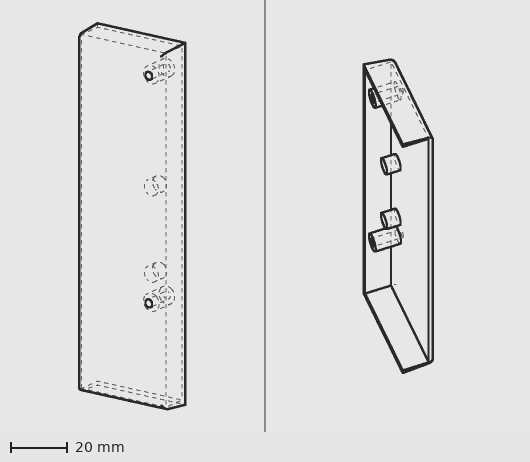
import cadquery as cq
import math

length_x = 37.7
depth = 11.4
height = 134.0

plate_thickness = 1.6
rim_thickness = 1.5
rim_land = 0.3
draft_angle = 5.0
edge_radius = 2.0
draft_start = depth - rim_land
draft_inset = draft_start * math.tan(math.radians(draft_angle))

post_x = 29.9
boss_diameter = 6.7
boss_length = draft_start - plate_thickness
boss_heights = (56.4, -27.9)
screw_hole_diameter = 3.0
pin_diameter = 6.0
pin_length = 5.1
pin_heights = (14.6, -17.4)


def outer_body():
    """Block whose end and +X walls lean inward toward the rounded front face."""
    half_height = height / 2
    end_profile = (
        cq.Workplane("YZ")
        .polyline([
            (0, -half_height + draft_inset),
            (draft_start, -half_height),
            (depth, -half_height),
            (depth, half_height),
            (draft_start, half_height),
            (0, half_height - draft_inset),
        ])
        .close()
        .extrude(length_x)
    )
    side_profile = (
        cq.Workplane("XY")
        .polyline([
            (0, 0),
            (length_x - draft_inset, 0),
            (length_x, draft_start),
            (length_x, depth),
            (0, depth),
        ])
        .close()
        .extrude(half_height, both=True)
    )
    body = end_profile.intersect(side_profile)
    front_edges = body.faces("<Y").edges("not(<X)")
    return front_edges.fillet(edge_radius)


def cavity():
    """Straight-sided space behind the front plate, open at -X and +Y."""
    return cq.Workplane("XY").box(
        length_x - rim_thickness,
        depth - plate_thickness,
        height - 2 * rim_thickness,
        centered=(False, False, True),
    ).translate((0, plate_thickness, 0))


def rod(z, diameter, start_y, end_y):
    """Cylinder along +Y on the vertical line of the posts."""
    return (
        cq.Workplane("XZ", origin=(post_x, start_y, z))
        .circle(diameter / 2)
        .extrude(start_y - end_y)
    )


result = outer_body().cut(cavity())

post_root = plate_thickness / 2

for z in pin_heights:
    result = result.union(rod(z, pin_diameter, post_root, plate_thickness + pin_length))

for z in boss_heights:
    result = result.union(rod(z, boss_diameter, post_root, plate_thickness + boss_length))
    result = result.cut(rod(z, screw_hole_diameter, 0, depth))